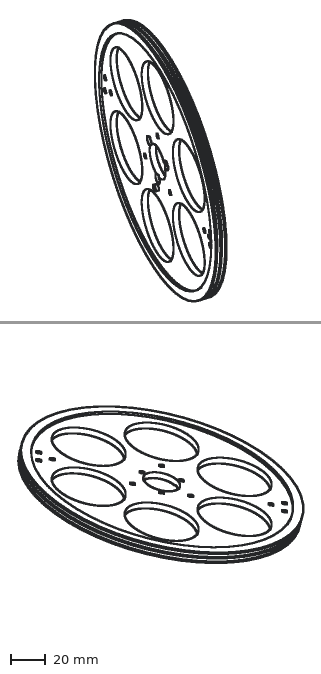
import cadquery as cq
import math

rim_radius = 84.0
flange_count = 3
flange_thickness = 1.0
groove_width = 2.0
groove_floor_radius = 80.0
flange_pitch = flange_thickness + groove_width
rim_thickness = (flange_count - 1) * flange_pitch + flange_thickness

recess_radius = 78.0
recess_depth = 1.5
web_thickness = rim_thickness - 2 * recess_depth
web_front = recess_depth

bore_radius = 11.0
window_count = 6
window_radius = 22.0
window_circle_radius = 50.0
small_hole_radius = 1.5
hub_hole_circle_radius = 20.0
hub_hole_count = 3
outer_hole_offset = 65.0
paired_hole_offset = 73.0
paired_hole_height = 5.0

screw_circle_radius = 13.5
screw_count = 3
countersink_radius = 3.0
countersink_depth = countersink_radius - small_hole_radius

pin_radius = 2.0
pin_projection = 0.5

mark_start = 69.9
mark_width = 1.0
mark_depth = 1.0


def disc(radius, thickness, front, x=0.0, z=0.0):
    """Cylinder along Y that starts at y = front and runs toward +Y."""
    return cq.Workplane("XZ", origin=(x, front, z)).circle(radius).extrude(-thickness)


def polar_points(count, radius, start_angle):
    """Evenly spaced (x, z) points on a circle."""
    angles = [math.radians(start_angle + i * 360 / count) for i in range(count)]
    return [(radius * math.cos(angle), radius * math.sin(angle)) for angle in angles]


def make_wheel():
    """Grooved wheel with a recess in each face; front rim face at y = 0."""
    wheel = disc(groove_floor_radius, rim_thickness, 0)
    for i in range(flange_count):
        wheel = wheel.union(disc(rim_radius, flange_thickness, i * flange_pitch))
    for recess_front in (0, web_front + web_thickness):
        wheel = wheel.cut(disc(recess_radius, recess_depth, recess_front))
    return wheel


def cut_holes(body, radius, points):
    """Cut round holes through the web."""
    for x, z in points:
        body = body.cut(disc(radius, web_thickness, web_front, x, z))
    return body


def cut_countersinks(body, points):
    """Cut conical screw seats into the front of the web."""
    for x, z in points:
        cone = cq.Solid.makeCone(
            countersink_radius,
            small_hole_radius,
            countersink_depth,
            pnt=cq.Vector(x, web_front, z),
            dir=cq.Vector(0, 1, 0),
        )
        body = body.cut(cq.Workplane(obj=cone))
    return body


def make_index_mark():
    """Narrow radial bar that engraves the web out to the rim."""
    length = recess_radius - mark_start
    bar = cq.Workplane("XY").box(length, mark_depth, mark_width, centered=(False, False, True))
    return bar.translate((mark_start, web_front, 0))


side_holes = []
for side in (-1, 1):
    side_holes.append((side * outer_hole_offset, 0))
    side_holes.append((side * paired_hole_offset, paired_hole_height))
    side_holes.append((side * paired_hole_offset, -paired_hole_height))

hub_holes = polar_points(hub_hole_count, hub_hole_circle_radius, 90)
screw_holes = polar_points(screw_count, screw_circle_radius, -90)
windows = polar_points(window_count, window_circle_radius, 90)

result = make_wheel()
result = cut_holes(result, bore_radius, [(0, 0)])
result = cut_holes(result, window_radius, windows)
result = cut_holes(result, small_hole_radius, side_holes + hub_holes + screw_holes)
result = cut_countersinks(result, screw_holes)
result = result.cut(make_index_mark())

pin_height = recess_depth + pin_projection
result = result.union(disc(pin_radius, pin_height, -pin_projection, 0, -hub_hole_circle_radius))